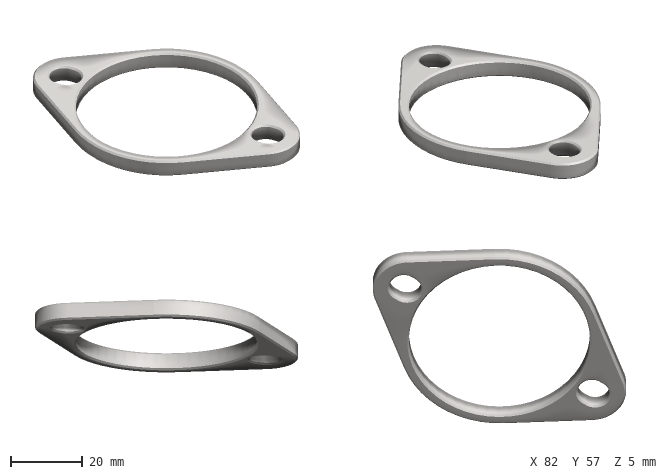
import cadquery as cq
import math

length = 82.0
width = 57.0
thickness = 5.0
edge_chamfer = 0.5

centre_radius = width / 2
end_radius = 10.0
end_offset = length / 2 - end_radius

bore_diameter = 51.0
slot_length = 9.2
slot_width = 8.0
slot_offset = 32.0


def make_outline():
    """Closed outline, symmetric about X and Y."""
    normal_angle = math.acos((centre_radius - end_radius) / end_offset)
    normal_x = math.cos(normal_angle)
    normal_y = math.sin(normal_angle)
    centre_x = centre_radius * normal_x
    centre_y = centre_radius * normal_y
    end_x = end_offset + end_radius * normal_x
    end_y = end_radius * normal_y
    return (
        cq.Workplane("XY")
        .moveTo(-centre_x, centre_y)
        .threePointArc((0, centre_radius), (centre_x, centre_y))
        .lineTo(end_x, end_y)
        .threePointArc((length / 2, 0), (end_x, -end_y))
        .lineTo(centre_x, -centre_y)
        .threePointArc((0, -centre_radius), (-centre_x, -centre_y))
        .lineTo(-end_x, -end_y)
        .threePointArc((-length / 2, 0), (-end_x, end_y))
        .close()
    )


def make_openings():
    """Central bore and the two short bolt slots, as solids to remove."""
    bore = cq.Workplane("XY").circle(bore_diameter / 2).extrude(thickness)
    slots = (
        cq.Workplane("XY")
        .pushPoints([(-slot_offset, 0), (slot_offset, 0)])
        .slot2D(slot_length, slot_width)
        .extrude(thickness)
    )
    return bore.union(slots)


plate = make_outline().extrude(thickness).cut(make_openings())

result = plate.faces("<Z or >Z").edges().chamfer(edge_chamfer)